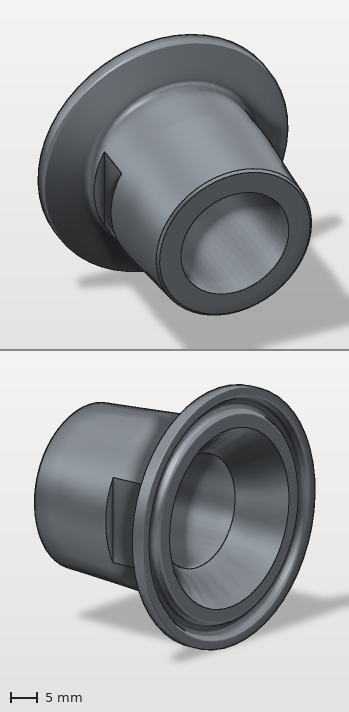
import cadquery as cq
import math

flange_radius = 25.25
rim_width = 2.25
front_edge_fillet = 0.2
back_edge_fillet = 0.8
flange_back_slope = math.radians(70)
neck_fillet = 2.0

total_length = 35.0
body_radius = 17.15
taper_start = 16.55
taper_end_radius = 16.0
end_chamfer = 0.5

mouth_radius = 17.45
bore_radius = 11.1
mouth_depth = 7.95

groove_radius = 21.8
groove_bottom_radius = 1.05
groove_lip_radius = 0.9
groove_half_width = 2.0
groove_wall_slope = math.radians(75)

flat_start = 8.05
flat_length = 8.0
flat_distance = 15.0


def arc_point(center, radius, angle):
    """Point at an angle, measured from +X, on a circle in the profile plane."""
    return (center[0] + radius * math.cos(angle), center[1] + radius * math.sin(angle))


def revolve_about_x(profile):
    return profile.close().revolve(360, (0, 0, 0), (1, 0, 0))


def make_body():
    rim_center = (rim_width, flange_radius - back_edge_fillet)
    normal = math.pi / 2 - flange_back_slope
    rim_end = arc_point(rim_center, back_edge_fillet, normal)
    neck_center_radius = body_radius + neck_fillet
    neck_start_radius = neck_center_radius - neck_fillet * math.cos(flange_back_slope)
    neck_start_x = rim_end[0] + (rim_end[1] - neck_start_radius) / math.tan(flange_back_slope)
    neck_center = (neck_start_x + neck_fillet * math.sin(flange_back_slope), neck_center_radius)
    half_turn = math.pi / 2 - flange_back_slope / 2
    front_center = (front_edge_fillet, flange_radius - front_edge_fillet)

    profile = (
        cq.Workplane("XZ")
        .moveTo(0, mouth_radius)
        .lineTo(0, front_center[1])
        .threePointArc(
            arc_point(front_center, front_edge_fillet, math.radians(135)),
            (front_center[0], flange_radius),
        )
        .lineTo(rim_width, flange_radius)
        .threePointArc(arc_point(rim_center, back_edge_fillet, half_turn), rim_end)
        .lineTo(neck_start_x, neck_start_radius)
        .threePointArc(
            arc_point(neck_center, neck_fillet, math.pi + half_turn),
            (neck_center[0], body_radius),
        )
        .lineTo(taper_start, body_radius)
        .lineTo(total_length - end_chamfer, taper_end_radius)
        .lineTo(total_length, taper_end_radius - end_chamfer)
        .lineTo(total_length, bore_radius)
        .lineTo(mouth_depth, bore_radius)
    )
    return revolve_about_x(profile)


def make_groove():
    sine = math.sin(groove_wall_slope)
    cosine = math.cos(groove_wall_slope)
    lip_width = groove_lip_radius * sine
    lip_depth = groove_lip_radius * (1 - cosine)
    bottom_half_width = groove_bottom_radius * sine
    wall_width = groove_half_width - lip_width - bottom_half_width
    wall_end = lip_depth + wall_width * math.tan(groove_wall_slope)
    bottom_center_x = wall_end - groove_bottom_radius * cosine
    groove_depth = bottom_center_x + groove_bottom_radius
    half_slope = groove_wall_slope / 2
    lip_mid_offset = groove_half_width - groove_lip_radius * math.sin(half_slope)
    lip_mid_depth = groove_lip_radius * (1 - math.cos(half_slope))
    lip_end_offset = groove_half_width - lip_width

    profile = (
        cq.Workplane("XZ")
        .moveTo(0, groove_radius + groove_half_width)
        .threePointArc(
            (lip_mid_depth, groove_radius + lip_mid_offset),
            (lip_depth, groove_radius + lip_end_offset),
        )
        .lineTo(wall_end, groove_radius + bottom_half_width)
        .threePointArc(
            (groove_depth, groove_radius),
            (wall_end, groove_radius - bottom_half_width),
        )
        .lineTo(lip_depth, groove_radius - lip_end_offset)
        .threePointArc(
            (lip_mid_depth, groove_radius - lip_mid_offset),
            (0, groove_radius - groove_half_width),
        )
    )
    return revolve_about_x(profile)


def make_flat_cutter(side):
    cutter_depth = flange_radius - flat_distance
    return cq.Workplane("XY").box(flat_length, cutter_depth, 2 * body_radius).translate(
        (flat_start + flat_length / 2, side * (flat_distance + cutter_depth / 2), 0)
    )


result = make_body().cut(make_groove())
for side in (-1, 1):
    result = result.cut(make_flat_cutter(side))